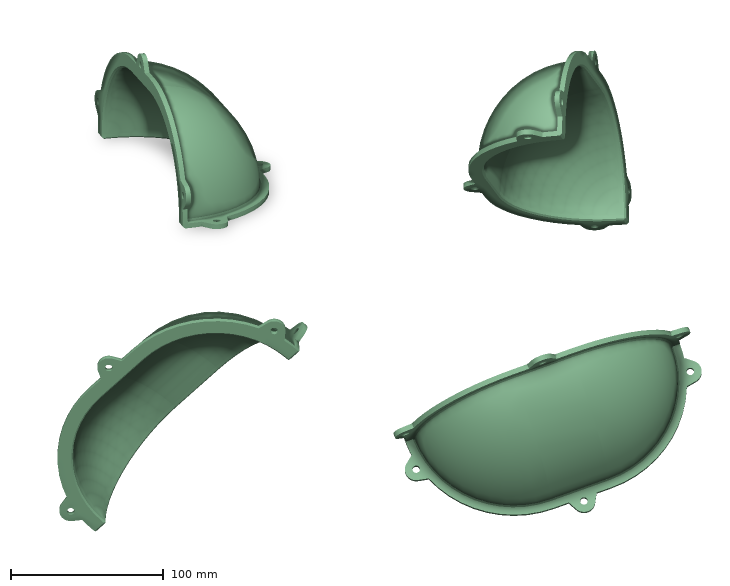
import cadquery as cq
import math

thickness = 3.3
half_straight = 20.2
flange_radius = 75.3
shell_outer_radius = 69.3
shell_inner_radius = 65.4
edge_bevel = 1.0
corner_chamfer = 1.5

hole_diameter = 5.0
tab_radius = 7.5
side_hole_x = 95.5
side_hole_height = 23.0
top_hole_height = 81.0
side_root_upper = (89.7, 31.7)
side_root_lower = (95.0, 13.2)
top_root_half_width = 9.7
anchor_ratio = 0.9
overcut = 4.1


def arch(plane, radius, bottom=0.0):
    """Sketch an arch: two quarter circles joined by a straight top and closed along the bottom."""
    side = half_straight + radius
    diagonal = radius * math.sqrt(0.5)
    return (
        plane.moveTo(-side, bottom)
        .lineTo(-side, thickness)
        .threePointArc((-half_straight - diagonal, thickness + diagonal), (-half_straight, thickness + radius))
        .lineTo(half_straight, thickness + radius)
        .threePointArc((half_straight + diagonal, thickness + diagonal), (side, thickness))
        .lineTo(side, bottom)
        .close()
    )


def tangent_point(center, root, turn):
    """Point where a line from root touches the tab circle; turn (+1 or -1) picks the side."""
    dx = root[0] - center[0]
    dy = root[1] - center[1]
    angle = math.atan2(dy, dx) + turn * math.acos(tab_radius / math.hypot(dx, dy))
    return (center[0] + tab_radius * math.cos(angle), center[1] + tab_radius * math.sin(angle))


def tab(center, first_root, second_root):
    """Round tab with tangent flanks; roots run clockwise from the first round the tip to the second."""
    anchor = (center[0] * anchor_ratio, center[1] * anchor_ratio)
    flanks = [
        anchor,
        first_root,
        tangent_point(center, first_root, -1),
        center,
        tangent_point(center, second_root, 1),
        second_root,
    ]
    body = cq.Workplane("XY").polyline(flanks).close().extrude(thickness)
    tip = cq.Workplane("XY").center(*center).circle(tab_radius).extrude(thickness)
    return body.union(tip)


def flange():
    """Flat flange lying on the XY plane, with three drilled tabs."""
    right_center = (side_hole_x, side_hole_height)
    top_center = (0, top_hole_height)
    top_root_height = thickness + flange_radius
    right_tab = tab(right_center, side_root_upper, side_root_lower)
    top_tab = tab(top_center, (-top_root_half_width, top_root_height), (top_root_half_width, top_root_height))
    plate = arch(cq.Workplane("XY"), flange_radius).extrude(thickness)
    plate = plate.union(right_tab).union(right_tab.mirror("YZ")).union(top_tab)
    hole_centers = [right_center, (-side_hole_x, side_hole_height), top_center]
    holes = cq.Workplane("XY").pushPoints(hole_centers).circle(hole_diameter / 2).extrude(thickness)
    return plate.cut(holes)


def upright(body):
    """Swap Y and Z, turning a body built on the floor into its twin on the front face."""
    return body.rotate((0, 0, 0), (1, 0, 0), 90).mirror("XZ")


def with_twin(body):
    return body.union(upright(body))


def quarter_capsule(radius):
    """Quarter of a round-ended bar along X, above the floor flange and behind the front one."""
    diagonal = radius * math.sqrt(0.5)
    half_section = (
        cq.Workplane("XY")
        .moveTo(-half_straight - radius, 0)
        .threePointArc((-half_straight - diagonal, diagonal), (-half_straight, radius))
        .lineTo(half_straight, radius)
        .threePointArc((half_straight + diagonal, diagonal), (half_straight + radius, 0))
        .close()
    )
    return half_section.revolve(90, (0, 0), (1, 0)).translate((0, thickness, thickness))


def bevel(radius, bottom=0.0):
    """Arch-shaped frustum on the XY plane that narrows upward to the given radius."""
    wide = arch(cq.Workplane("XY"), radius + edge_bevel, bottom)
    return arch(wide.workplane(offset=edge_bevel), radius, bottom).loft(ruled=True)


def opening():
    """Passage through the floor flange with a bevelled mouth."""
    passage = arch(cq.Workplane("XY"), shell_inner_radius, -overcut).extrude(thickness)
    return passage.union(bevel(shell_inner_radius, -overcut))


foot = bevel(shell_outer_radius).translate((0, 0, thickness))

corner_cutter = (
    cq.Workplane("YZ")
    .polyline([(0, 0), (corner_chamfer, 0), (0, corner_chamfer)])
    .close()
    .extrude(half_straight + flange_radius, both=True)
)

solid = with_twin(flange()).union(quarter_capsule(shell_outer_radius)).union(with_twin(foot))
hollow = quarter_capsule(shell_inner_radius)
result = solid.cut(hollow).cut(with_twin(opening())).cut(corner_cutter)